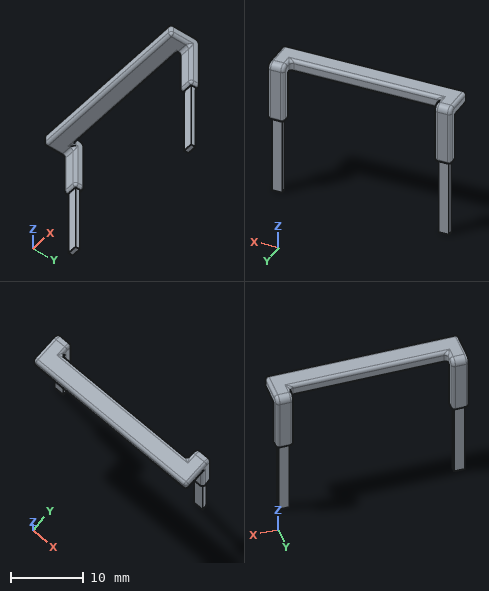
import cadquery as cq

length = 28.1
depth = 5.35
height = 21.0

bar_depth = 3.2
bar_thickness = 2.0
handle_height = 9.3
edge_radius = 0.5
bend_radius = 2 * edge_radius

pin_width = 1.57
pin_thickness = 0.8
pin_length = height - handle_height

leg_width = pin_width + 2 * edge_radius
leg_depth = pin_thickness + 2 * edge_radius
leg_x = (length - leg_width) / 2
leg_y = depth - leg_depth / 2
leg_front = depth - leg_depth
bar_bottom = height - bar_thickness

tolerance = 0.003
sides = (-1, 1)


def box_on(x, y, bottom, size_x, size_y, size_z):
    """Box centred on x and y, standing on the height 'bottom'."""
    box = cq.Workplane("XY").box(size_x, size_y, size_z, centered=(True, True, False))
    return box.translate((x, y, bottom))


def sharp_handle():
    """Bar and two L-shaped ends, rounded only at the outside of the bends."""
    body = box_on(0, bar_depth / 2, bar_bottom, length, bar_depth, bar_thickness)
    for side in sides:
        x = side * leg_x
        arm = box_on(x, depth / 2, bar_bottom, leg_width, depth, bar_thickness)
        leg = box_on(x, leg_y, pin_length, leg_width, leg_depth, handle_height)
        body = body.union(arm).union(leg)
    return body.clean().faces(">Y").edges(">Z").fillet(bend_radius)


def is_bar_corner(edge):
    """Upright inside corner between the back of the bar and an arm."""
    center = edge.Center()
    at_arm_side = abs(abs(center.x) - (length / 2 - leg_width)) < tolerance
    return edge.geomType() == "LINE" and at_arm_side and abs(center.y - bar_depth) < tolerance


def is_leg_corner(edge):
    """Inside corner along X between the front of a leg and the underside of its arm."""
    center = edge.Center()
    at_leg_front = abs(center.y - leg_front) < tolerance
    return edge.geomType() == "LINE" and at_leg_front and abs(center.z - bar_bottom) < tolerance


def is_outside(edge):
    return not (is_bar_corner(edge) or is_leg_corner(edge))


def round_edges(body, picked):
    """Round the edges for which 'picked' is true."""
    chosen = [edge for edge in body.edges().vals() if picked(edge)]
    return body.newObject(chosen).fillet(edge_radius)


def make_handle():
    """Handle with every edge rounded."""
    body = sharp_handle()
    body = round_edges(body, is_outside)
    return round_edges(body, is_bar_corner).union(round_edges(body, is_leg_corner))


def make_pin(side):
    """Straight flat pin butted against the bottom of one leg."""
    return box_on(side * leg_x, leg_y, 0, pin_width, pin_thickness, pin_length)


handle = make_handle()
pins = [make_pin(side) for side in sides]

result = cq.Compound.makeCompound([handle.solids().val(), *[pin.val() for pin in pins]])